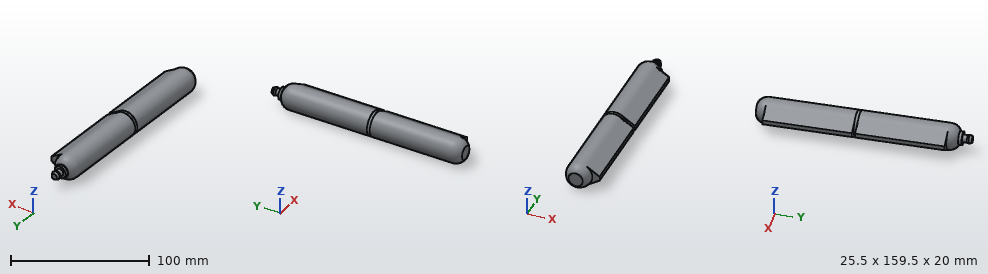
import cadquery as cq
import math

total_length = 159.5
barrel_diameter = 20.0
spacer_diameter = 19.8
barrel_length = 66.4
spacer_length = 2.4
dome_height = 7.5
dome_flat_diameter = 11.0

overall_width = 25.5
leaf_tip_thickness = 3.5
leaf_root_x = 5.9

collar_diameter = 10.0
collar_length = 2.4
neck_diameter = 5.7
rib_diameter = 6.9
nipple_tip_diameter = 4.8
rib_cone_length = 1.5
tip_cone_length = 2.0

barrel_radius = barrel_diameter / 2
leaf_tip_x = overall_width - barrel_radius
bottom_y = -total_length / 2
top_y = total_length / 2
lower_barrel_y = bottom_y + dome_height
spacer_y = lower_barrel_y + barrel_length
upper_barrel_y = spacer_y + spacer_length
upper_dome_y = upper_barrel_y + barrel_length
collar_y = upper_dome_y + dome_height
neck_y = collar_y + collar_length
rib_y = top_y - tip_cone_length


def barrel_and_domes():
    """Body of revolution whose domes run tangentially into the barrels."""
    flat_radius = dome_flat_diameter / 2
    spacer_radius = spacer_diameter / 2
    inset = barrel_radius - flat_radius
    dome_radius = (dome_height**2 + inset**2) / (2 * inset)
    half_angle = math.asin(dome_height / dome_radius) / 2
    mid_radius = barrel_radius - dome_radius * (1 - math.cos(half_angle))
    mid_height = dome_radius * math.sin(half_angle)
    return (
        cq.Workplane("XY")
        .moveTo(0, bottom_y)
        .lineTo(flat_radius, bottom_y)
        .threePointArc((mid_radius, lower_barrel_y - mid_height), (barrel_radius, lower_barrel_y))
        .lineTo(barrel_radius, spacer_y)
        .lineTo(spacer_radius, spacer_y)
        .lineTo(spacer_radius, upper_barrel_y)
        .lineTo(barrel_radius, upper_barrel_y)
        .lineTo(barrel_radius, upper_dome_y)
        .threePointArc((mid_radius, upper_dome_y + mid_height), (flat_radius, collar_y))
        .lineTo(0, collar_y)
        .close()
        .revolve(360, (0, 0, 0), (0, 1, 0))
    )


def grease_nipple():
    """Collar, neck and double-cone head, rooted inside the upper dome."""
    return (
        cq.Workplane("XY")
        .moveTo(0, upper_dome_y)
        .lineTo(collar_diameter / 2, upper_dome_y)
        .lineTo(collar_diameter / 2, neck_y)
        .lineTo(neck_diameter / 2, neck_y)
        .lineTo(neck_diameter / 2, rib_y - rib_cone_length)
        .lineTo(rib_diameter / 2, rib_y)
        .lineTo(nipple_tip_diameter / 2, top_y)
        .lineTo(0, top_y)
        .close()
        .revolve(360, (0, 0, 0), (0, 1, 0))
    )


def weld_leaf(start_y):
    """Tapered leaf, symmetric about the XY plane, along one barrel."""
    root_z = math.sqrt(barrel_radius**2 - leaf_root_x**2)
    tip_z = leaf_tip_thickness / 2
    return (
        cq.Workplane("XZ", origin=(0, start_y, 0))
        .moveTo(0, 0)
        .lineTo(leaf_root_x, root_z)
        .lineTo(leaf_tip_x, tip_z)
        .lineTo(leaf_tip_x, -tip_z)
        .lineTo(leaf_root_x, -root_z)
        .close()
        .extrude(-barrel_length)
    )


result = barrel_and_domes().union(grease_nipple())
for barrel_start in (lower_barrel_y, upper_barrel_y):
    result = result.union(weld_leaf(barrel_start))